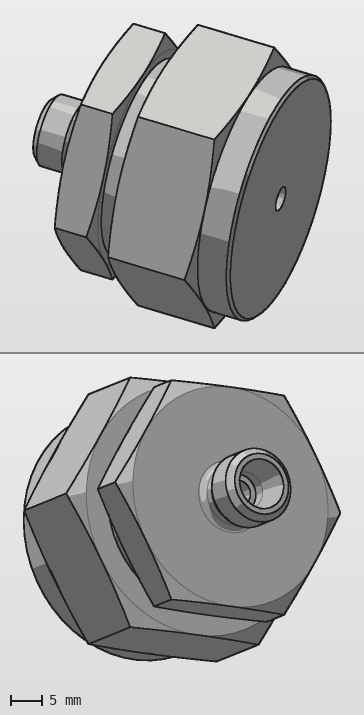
import cadquery as cq
import math

nipple_taper_start = 5.5
small_hex_start = 10.0
small_hex_end = 17.0
large_hex_start = 20.5
large_hex_end = 35.5
overall_length = 41.0

nipple_diameter = 12.0
nipple_neck_diameter = 9.75
nipple_taper_angle = 30.0
tip_chamfer_length = 1.1
tip_chamfer_depth = 1.05
shoulder_fillet = 1.0

small_hex_flats = 36.0
large_hex_flats = 41.0
hex_chamfer_angle = 15.0

groove_diameter = 33.0
collar_diameter = 40.8
collar_chamfer = 0.5

seat_mouth_diameter = 8.1
socket_diameter = 6.0
socket_depth = 7.0
seat_half_angle = 12.0
bore_diameter = 4.0


def revolve_about_x(profile):
    """Turn a closed XY profile (x along the axis, y as radius) about the X axis."""
    return profile.close().revolve(360, (0, 0, 0), (1, 0, 0))


def cylinder(x_start, x_end, diameter):
    return cq.Workplane("YZ", origin=(x_start, 0, 0)).circle(diameter / 2).extrude(x_end - x_start)


def chamfered_hex(x_start, x_end, across_flats):
    """Hexagonal prism whose corners are turned off by a cone at both ends."""
    flat_radius = across_flats / 2
    corner_diameter = across_flats / math.cos(math.radians(30))
    corner_radius = corner_diameter / 2
    chamfer_length = (corner_radius - flat_radius) * math.tan(math.radians(hex_chamfer_angle))
    prism = (
        cq.Workplane("YZ", origin=(x_start, 0, 0))
        .polygon(6, corner_diameter)
        .extrude(x_end - x_start)
    )
    turned_envelope = revolve_about_x(
        cq.Workplane("XY")
        .moveTo(x_start, 0)
        .lineTo(x_start, flat_radius)
        .lineTo(x_start + chamfer_length, corner_radius)
        .lineTo(x_end - chamfer_length, corner_radius)
        .lineTo(x_end, flat_radius)
        .lineTo(x_end, 0)
    )
    return prism.intersect(turned_envelope)


def nipple():
    """Male nipple with a chamfered tip, a conical taper to the neck and a filleted shoulder."""
    radius = nipple_diameter / 2
    neck_radius = nipple_neck_diameter / 2
    taper_length = (radius - neck_radius) / math.tan(math.radians(nipple_taper_angle))
    neck_start = nipple_taper_start + taper_length
    return revolve_about_x(
        cq.Workplane("XY")
        .lineTo(0, radius - tip_chamfer_depth)
        .lineTo(tip_chamfer_length, radius)
        .lineTo(nipple_taper_start, radius)
        .lineTo(neck_start, neck_radius)
        .lineTo(small_hex_start - shoulder_fillet, neck_radius)
        .radiusArc((small_hex_start, neck_radius + shoulder_fillet), -shoulder_fillet)
        .lineTo(small_hex_start, 0)
    )


def collar():
    return cylinder(large_hex_end, overall_length, collar_diameter).faces(">X").chamfer(collar_chamfer)


def bore():
    """Conical seat running into the tube socket, then the through hole."""
    mouth_radius = seat_mouth_diameter / 2
    socket_radius = socket_diameter / 2
    bore_radius = bore_diameter / 2
    seat_length = (mouth_radius - socket_radius) / math.tan(math.radians(seat_half_angle))
    return revolve_about_x(
        cq.Workplane("XY")
        .lineTo(0, mouth_radius)
        .lineTo(seat_length, socket_radius)
        .lineTo(socket_depth, socket_radius)
        .lineTo(socket_depth, bore_radius)
        .lineTo(overall_length, bore_radius)
        .lineTo(overall_length, 0)
    )


result = (
    chamfered_hex(small_hex_start, small_hex_end, small_hex_flats)
    .union(nipple())
    .union(cylinder(small_hex_end, large_hex_start, groove_diameter))
    .union(chamfered_hex(large_hex_start, large_hex_end, large_hex_flats))
    .union(collar())
    .cut(bore())
)